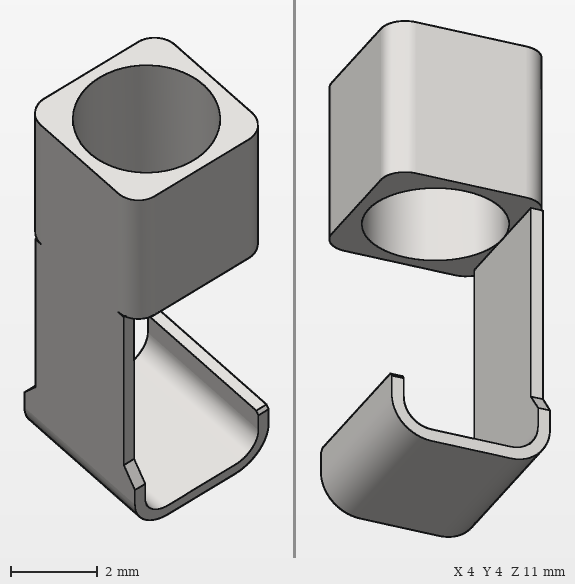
import cadquery as cq

height = 11.0
width = 4.0
socket_height = 4.0
corner_radius = 0.6
bore_diameter = 3.4
sheet = 0.31
strip_width = 3.2
bend_radius = 1.0
flare_start = 1.5
flare_end = 2.0
lip_height = 1.6

half_width = width / 2
half_strip = strip_width / 2
socket_bottom = height - socket_height


def make_socket():
    """Square socket with rounded vertical edges and a through bore."""
    block = cq.Workplane("XY").workplane(offset=socket_bottom).rect(width, width).extrude(socket_height)
    return block.edges("|Z").fillet(corner_radius).faces(">Z").workplane().hole(bore_diameter)


def make_flared_panel(bottom, depth):
    """Panel from the -Y side inward, full width below the flare and strip width above it."""
    outline = [
        (half_width, bottom),
        (half_width, flare_start),
        (half_strip, flare_end),
        (half_strip, socket_bottom),
    ]
    mirrored = [(-x, z) for x, z in reversed(outline)]
    return (
        cq.Workplane("XZ", origin=(0, -half_width, 0))
        .polyline(outline + mirrored)
        .close()
        .extrude(-depth)
    )


def make_channel(half_span, radius, bottom, top):
    """Full-width bar with rounded lower edges, centred in Y."""
    bar = cq.Workplane("XY").workplane(offset=bottom).rect(width, 2 * half_span).extrude(top - bottom)
    return bar.edges("|X and <Z").fillet(radius)


def make_hook():
    """J-shaped hook: a bent channel whose -Y wall stops where the strip begins."""
    outer = make_channel(half_width, bend_radius, 0, lip_height)
    inner = make_channel(half_width - sheet, bend_radius - sheet, sheet, lip_height)
    wall_cut = (
        cq.Workplane("XY", origin=(0, -half_width, bend_radius))
        .box(width, 2 * sheet, height, centered=(True, True, False))
    )
    hook = outer.cut(inner).cut(wall_cut)
    return hook.intersect(make_flared_panel(0, width))


strip = make_flared_panel(bend_radius, sheet)
result = make_socket().union(strip).union(make_hook())